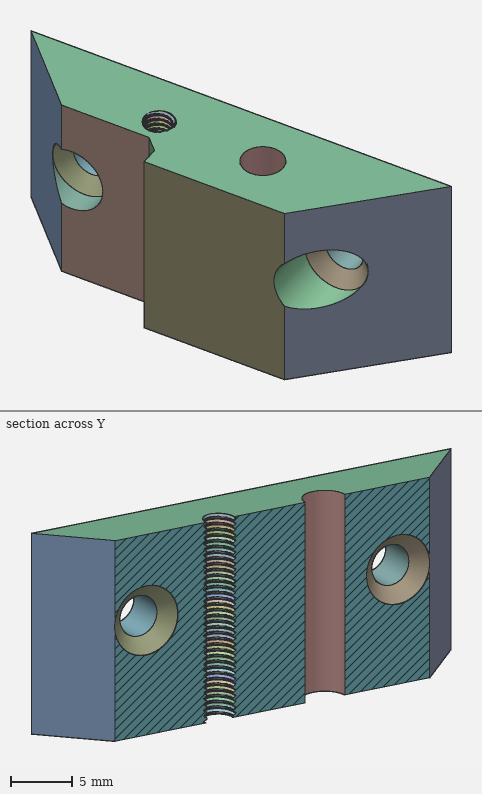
import cadquery as cq
import math

length = 40.0
depth = 10.0
height = 17.5

step_depth = 7.1
step_x = 16.65
step_chamfer = 1.25

screw_spacing = 24.0
screw_z = 10.0
screw_diameter = 3.5
head_diameter = 6.0
cone_start_depth = 4.95
cone_length = (head_diameter - screw_diameter) / 2

vertical_spacing = 10.0
vertical_y = -depth / 2
plain_diameter = 3.75
thread_minor = 2.5
thread_major = 3.1
thread_turns = 35
thread_pitch = height / thread_turns
groove_width = 0.35
thread_start_angle = 90.0


def make_block():
    outline = [
        (0, 0),
        (step_depth, -step_depth),
        (step_x - step_chamfer, -step_depth),
        (step_x, -step_depth - step_chamfer),
        (step_x, -depth),
        (length - depth, -depth),
        (length, 0),
    ]
    return cq.Workplane("XY").polyline(outline).close().extrude(height)


def make_screw_cutter(x):
    """Through hole, cone and head clearance as one revolved shape."""
    bore_radius = screw_diameter / 2
    head_radius = head_diameter / 2
    half_section = [
        (0, 0),
        (bore_radius, 0),
        (bore_radius, cone_length - cone_start_depth),
        (head_radius, -cone_start_depth),
        (head_radius, -depth),
        (0, -depth),
    ]
    cutter = cq.Workplane("XY").polyline(half_section).close().revolve(360, (0, 0), (0, 1))
    return cutter.translate((x, 0, screw_z))


def make_plain_cutter(x):
    return cq.Workplane("XY").center(x, vertical_y).circle(plain_diameter / 2).extrude(height)


def make_thread_turn(x):
    """One turn of the threaded bore: its cross-section twisted once over a pitch.

    The helical V groove shows in the cross-section as two mirrored arcs that
    spiral out to the major radius. A minor-radius arc, the thread's crest, closes them.
    """
    minor_radius = thread_minor / 2
    groove_depth = thread_major / 2 - minor_radius
    half_angle = math.pi * groove_width / thread_pitch

    def spiral_point(side, share):
        """Point at a share (0 to 1) of the way from the crest to the groove's root."""
        radius = minor_radius + groove_depth * share
        angle = math.radians(thread_start_angle) + side * half_angle * (1 - share)
        return (radius * math.cos(angle), radius * math.sin(angle))

    crest_angle = math.radians(thread_start_angle) + math.pi
    crest_middle = (minor_radius * math.cos(crest_angle), minor_radius * math.sin(crest_angle))
    section = (
        cq.Workplane("XY")
        .moveTo(*spiral_point(-1, 0))
        .threePointArc(spiral_point(-1, 0.5), spiral_point(-1, 1))
        .threePointArc(spiral_point(1, 0.5), spiral_point(1, 0))
        .threePointArc(crest_middle, spiral_point(-1, 0))
        .close()
    )
    return section.twistExtrude(thread_pitch, 360).translate((x, vertical_y, 0))


def add_thread(body, x):
    """Open the bore in the end faces and line it with stacked turns, sewn into one solid."""
    turn = make_thread_turn(x)
    mouth = turn.faces("<Z").val()
    walls = turn.faces("not(<Z or >Z)").vals()
    faces = body.faces("not(<Z or >Z)").vals()
    faces += body.faces("<Z").val().cut(mouth).Faces()
    faces += body.faces(">Z").val().cut(mouth.translate(cq.Vector(0, 0, height))).Faces()
    for i in range(thread_turns):
        offset = cq.Vector(0, 0, i * thread_pitch)
        faces += [wall.translate(offset) for wall in walls]
    return cq.Workplane(cq.Solid.makeSolid(cq.Shell.makeShell(faces)).fix())


result = make_block()

for side in (-1, 1):
    result = result.cut(make_screw_cutter(length / 2 + side * screw_spacing / 2))

threaded_x = (length - vertical_spacing) / 2
plain_x = (length + vertical_spacing) / 2
result = result.cut(make_plain_cutter(plain_x))
result = add_thread(result, threaded_x)